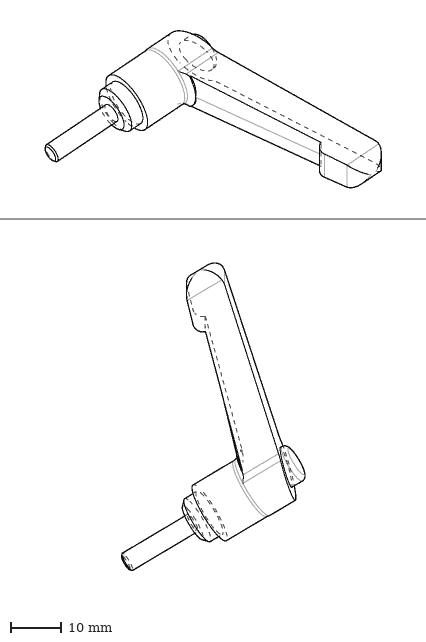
import cadquery as cq
import math


HUB_RADIUS = 6.6
LOWER_HUB_RADIUS = 6.5
STEP_BOTTOM = 9.65
STEP_TOP = 10.25
COLLAR_RADIUS = 5.0
COLLAR_LENGTH = 3.95
COLLAR_CHAMFER = 1.1
STUD_RADIUS = 2.0
STUD_TIP = -19.85
STUD_CHAMFER = 0.35
BUTTON_RADIUS = 4.0
BUTTON_TOP = 20.55
BUTTON_BOTTOM = 12.9
BUTTON_FILLET = 1.0

TIP_X = 51.6 - HUB_RADIUS
TOP_SLOPE = 0.29
TIP_TOP = 30.2
TOP_TIP_RADIUS = 3.1
BOTTOM_TIP_RADIUS = 4.15
RIDGE_SLOPE = 0.37
NOTCH_X = 34.7
NOTCH_Y = 21.35
BUMP_CENTER_X = 36.65
BUMP_CENTER_Y = 22.05
GRIP_SLOPE = 0.36

ROOT_X = 5.05
ROOT_HALF_WIDTH = 5.05
TIP_ARC_X = 42.25
TIP_HALF_WIDTH = 3.7

FLARE_RADIUS = 7.8
FLARE_TOP = 12.4
RIDGE_DEPTH = 0.95
RIDGE_END_DEPTH = 0.05
CUTTER_MARGIN = 0.5

LEVER_ROOT_Y = NOTCH_Y - RIDGE_SLOPE * (NOTCH_X - FLARE_RADIUS)
SPAN = 103.2


def top_y(x):
    """Height of the sloping top face, tangent to the rounded tip."""
    center_x = TIP_X - TOP_TIP_RADIUS
    center_y = TIP_TOP - TOP_TIP_RADIUS
    return center_y + TOP_TIP_RADIUS * math.hypot(1, TOP_SLOPE) + TOP_SLOPE * (x - center_x)


def cylinder(radius, bottom, top):
    return cq.Workplane("XZ", origin=(0, bottom, 0)).circle(radius).extrude(bottom - top)


def make_hub():
    """Stepped hub cut off by the sloping top face."""
    blank = (
        cq.Workplane("XY")
        .lineTo(LOWER_HUB_RADIUS, 0)
        .lineTo(LOWER_HUB_RADIUS, STEP_BOTTOM)
        .lineTo(HUB_RADIUS, STEP_TOP)
        .lineTo(HUB_RADIUS, TIP_TOP)
        .lineTo(0, TIP_TOP)
        .close()
        .revolve(360, (0, 0, 0), (0, 1, 0))
    )
    below_top = (
        cq.Workplane("XY")
        .polyline([(-SPAN, -SPAN), (SPAN, -SPAN), (SPAN, top_y(SPAN)), (-SPAN, top_y(-SPAN))])
        .close()
        .extrude(SPAN, both=True)
    )
    return blank.intersect(below_top)


def make_lever_plan():
    """Tapered plan outline with a round tip and concave blends into the hub."""
    blend = (HUB_RADIUS**2 - ROOT_X**2 - ROOT_HALF_WIDTH**2) / (2 * (ROOT_HALF_WIDTH - HUB_RADIUS))
    center_z = ROOT_HALF_WIDTH + blend
    angle = math.atan2(center_z, ROOT_X)
    hub_x = HUB_RADIUS * math.cos(angle)
    hub_z = HUB_RADIUS * math.sin(angle)
    middle_angle = (angle + math.pi + 1.5 * math.pi) / 2
    middle_x = ROOT_X + blend * math.cos(middle_angle)
    middle_z = center_z + blend * math.sin(middle_angle)
    return (
        cq.Workplane("XZ")
        .moveTo(0, -hub_z)
        .lineTo(hub_x, -hub_z)
        .threePointArc((middle_x, -middle_z), (ROOT_X, -ROOT_HALF_WIDTH))
        .lineTo(TIP_ARC_X, -TIP_HALF_WIDTH)
        .threePointArc((TIP_X, 0), (TIP_ARC_X, TIP_HALF_WIDTH))
        .lineTo(ROOT_X, ROOT_HALF_WIDTH)
        .threePointArc((middle_x, middle_z), (hub_x, hub_z))
        .lineTo(0, hub_z)
        .close()
        .extrude(SPAN, both=True)
    )


def make_lever_profile():
    """Side profile with the finger bump and rounded tip, extruded across the lever."""
    bump_radius = math.hypot(NOTCH_X - BUMP_CENTER_X, NOTCH_Y - BUMP_CENTER_Y)
    grip_angle = math.atan(GRIP_SLOPE) - math.pi / 2
    notch_angle = math.atan2(NOTCH_Y - BUMP_CENTER_Y, NOTCH_X - BUMP_CENTER_X)
    middle_angle = (grip_angle + notch_angle) / 2

    def on_bump(angle):
        x = BUMP_CENTER_X + bump_radius * math.cos(angle)
        y = BUMP_CENTER_Y + bump_radius * math.sin(angle)
        return x, y

    grip_x, grip_y = on_bump(grip_angle)
    grip_end_y = grip_y + GRIP_SLOPE * (TIP_X - grip_x)
    return (
        cq.Workplane("XY")
        .moveTo(0, LEVER_ROOT_Y)
        .lineTo(FLARE_RADIUS, LEVER_ROOT_Y)
        .lineTo(NOTCH_X, NOTCH_Y)
        .threePointArc(on_bump(middle_angle), (grip_x, grip_y))
        .lineTo(TIP_X, grip_end_y)
        .lineTo(TIP_X, top_y(TIP_X))
        .lineTo(0, top_y(0))
        .close()
        .extrude(HUB_RADIUS, both=True)
        .edges(cq.selectors.NearestToPointSelector((TIP_X, top_y(TIP_X), 0)))
        .fillet(TOP_TIP_RADIUS)
        .edges(cq.selectors.NearestToPointSelector((TIP_X, grip_end_y, 0)))
        .fillet(BOTTOM_TIP_RADIUS)
    )


def make_ridge_cutter(side):
    """Wedge that slopes one half of the underside up from the middle ridge."""
    ridge_y = NOTCH_Y - RIDGE_SLOPE * (NOTCH_X - ROOT_X)

    def section(x, y, half_width, depth):
        edge_z = side * half_width
        points = [(x, y, 0), (x, y - CUTTER_MARGIN, 0), (x, y - CUTTER_MARGIN, edge_z), (x, y + depth, edge_z)]
        return cq.Wire.makePolygon([cq.Vector(*p) for p in points], close=True)

    root = section(ROOT_X, ridge_y, ROOT_HALF_WIDTH, RIDGE_DEPTH)
    notch = section(NOTCH_X, NOTCH_Y, ROOT_HALF_WIDTH, RIDGE_END_DEPTH)
    return cq.Workplane(cq.Solid.makeLoft([root, notch], True))


def make_flare():
    """Concave ring blending the hub into the underside of the lever."""
    width = FLARE_RADIUS - HUB_RADIUS
    height = LEVER_ROOT_Y - STEP_TOP
    middle = (
        FLARE_RADIUS - width * math.cos(math.pi / 4),
        STEP_TOP + height * math.sin(math.pi / 4),
    )
    return (
        cq.Workplane("XY")
        .moveTo(0, STEP_TOP)
        .lineTo(HUB_RADIUS, STEP_TOP)
        .threePointArc(middle, (FLARE_RADIUS, LEVER_ROOT_Y))
        .lineTo(FLARE_RADIUS, FLARE_TOP)
        .lineTo(0, FLARE_TOP)
        .close()
        .revolve(360, (0, 0, 0), (0, 1, 0))
    )


def make_lever():
    lever = make_lever_profile()
    for side in (-1, 1):
        lever = lever.cut(make_ridge_cutter(side))
    return lever.union(make_flare()).intersect(make_lever_plan())


collar = cylinder(COLLAR_RADIUS, -COLLAR_LENGTH, 0).faces("<Y").chamfer(COLLAR_CHAMFER)
stud = cylinder(STUD_RADIUS, STUD_TIP, 0).faces("<Y").chamfer(STUD_CHAMFER)
button = cylinder(BUTTON_RADIUS, BUTTON_BOTTOM, BUTTON_TOP).faces(">Y").edges().fillet(BUTTON_FILLET)

result = make_hub().union(make_lever()).union(collar).union(stud).union(button)